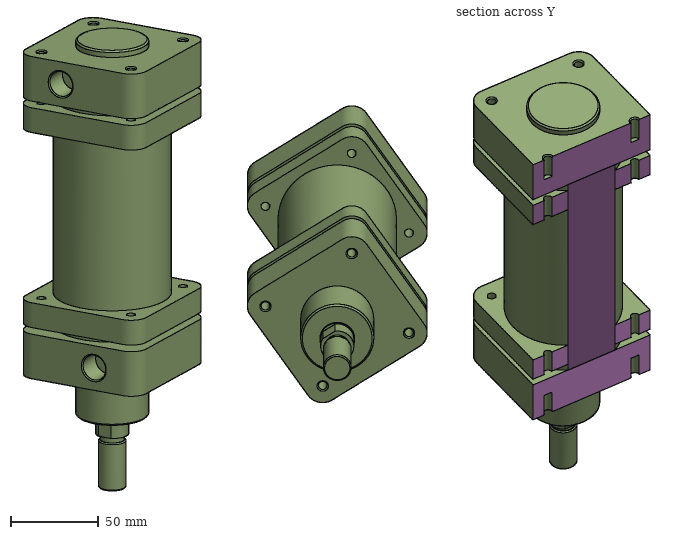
import cadquery as cq

head_width = 80.0
head_corner_radius = 10.0
hole_pitch = 59.4
hole_diameter = 5.0
hole_chamfer = 0.75
cap_hole_depth = 15.0
cap_thickness = 27.0
flange_thickness = 15.0
flange_gap = 4.0

boss_diameter = 42.0
boss_chamfer = 1.0
rear_boss_height = 4.0
nose_length = 28.0

port_diameter = 15.0
port_chamfer = 0.75
port_depth = 15.0
port_offset = 11.0

barrel_diameter = 68.0
barrel_length = 141.0

rod_diameter = 20.0
collar_length = 1.0
wrench_diameter = 19.0
wrench_flats = 17.0
wrench_length = 10.5
neck_diameter = 14.0
neck_length = 3.5
stud_diameter = 16.0
stud_length = 29.0
stud_chamfer = 0.75

barrel_start = cap_thickness
barrel_end = barrel_start + barrel_length
front_flange_start = barrel_start + flange_gap
rear_flange_start = barrel_end - flange_gap - flange_thickness
rear_cap_end = barrel_end + cap_thickness


def make_block(bottom, thickness):
    """Square block with rounded vertical edges."""
    return (
        cq.Workplane("XY")
        .workplane(offset=bottom)
        .rect(head_width, head_width)
        .extrude(thickness)
        .edges("|Z")
        .fillet(head_corner_radius)
    )


def make_corner_holes(bottom, depth):
    """Four plain corner holes rising from the given level."""
    return (
        cq.Workplane("XY")
        .workplane(offset=bottom)
        .rect(hole_pitch, hole_pitch, forConstruction=True)
        .vertices()
        .circle(hole_diameter / 2)
        .extrude(depth)
    )


def make_chamfered_hole(mouth, inward, diameter, depth, chamfer):
    """Blind hole cutter with a 45 degree chamfer at its mouth."""
    plane = cq.Plane(origin=mouth, normal=inward)
    hole = cq.Workplane(plane).circle(diameter / 2).extrude(depth)
    cone = cq.Solid.makeCone(
        diameter / 2 + chamfer, diameter / 2, chamfer, pnt=cq.Vector(*mouth), dir=cq.Vector(*inward)
    )
    return hole.union(cq.Workplane(cone))


def make_cap(bottom, outer_level, inward_z, port_x):
    """Cap block with blind corner holes in its outer face and an air port in its -Y face."""
    cap = make_block(bottom, cap_thickness)
    for x in (-hole_pitch / 2, hole_pitch / 2):
        for y in (-hole_pitch / 2, hole_pitch / 2):
            cap = cap.cut(
                make_chamfered_hole(
                    (x, y, outer_level), (0, 0, inward_z), hole_diameter, cap_hole_depth, hole_chamfer
                )
            )
    port_mouth = (port_x, -head_width / 2, bottom + cap_thickness / 2)
    return cap.cut(make_chamfered_hole(port_mouth, (0, 1, 0), port_diameter, port_depth, port_chamfer))


def make_cylinder(diameter, bottom, length):
    """Cylinder on the main axis, starting at the given level."""
    return cq.Workplane("XY").workplane(offset=bottom).circle(diameter / 2).extrude(length)


def make_flange(bottom):
    """Square flange around the barrel with through corner holes."""
    barrel_bore = make_cylinder(barrel_diameter, bottom, flange_thickness)
    corner_holes = make_corner_holes(bottom, flange_thickness)
    return make_block(bottom, flange_thickness).cut(barrel_bore).cut(corner_holes)


def make_front_cap():
    """Cap with the nose below it and a bore for the rod."""
    nose = make_cylinder(boss_diameter, -nose_length, nose_length).faces("<Z").chamfer(boss_chamfer)
    rod_bore = make_cylinder(rod_diameter, -nose_length, nose_length + cap_thickness)
    return make_cap(0, 0, 1, port_offset).union(nose).cut(rod_bore)


def make_rear_cap():
    """Cap with a shallow round boss on top."""
    boss = (
        make_cylinder(boss_diameter, rear_cap_end, rear_boss_height)
        .faces(">Z")
        .chamfer(boss_chamfer)
    )
    return make_cap(barrel_end, rear_cap_end, -1, -port_offset).union(boss)


def make_rod():
    """Rod reaching the barrel, with wrench flats, a neck and a plain stud."""
    wrench_end = -nose_length - collar_length - wrench_length
    neck_end = wrench_end - neck_length
    stud_end = neck_end - stud_length
    shaft_length = collar_length + nose_length + cap_thickness
    shaft = make_cylinder(rod_diameter, -nose_length - collar_length, shaft_length)
    wrench = make_cylinder(wrench_diameter, wrench_end, wrench_length).intersect(
        cq.Workplane("XY")
        .workplane(offset=wrench_end)
        .rect(wrench_diameter, wrench_flats)
        .extrude(wrench_length)
    )
    neck = make_cylinder(neck_diameter, neck_end, neck_length)
    stud = make_cylinder(stud_diameter, stud_end, stud_length).faces("<Z or >Z").chamfer(stud_chamfer)
    return shaft.union(wrench).union(neck).union(stud)


front_cap = make_front_cap()
rear_cap = make_rear_cap()
barrel = make_cylinder(barrel_diameter, barrel_start, barrel_length)
flanges = [make_flange(level) for level in (front_flange_start, rear_flange_start)]
rod = make_rod()

result = cq.Compound.makeCompound([
    front_cap.val(),
    rear_cap.val(),
    barrel.val(),
    *[flange.val() for flange in flanges],
    rod.val(),
])